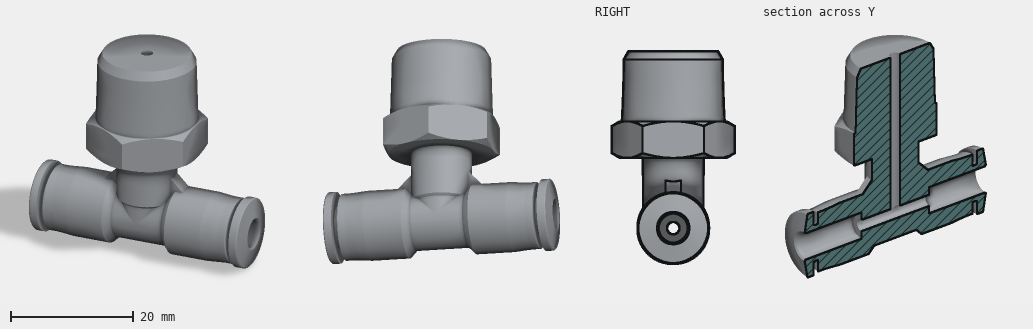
import cadquery as cq
import math


port_reach = 38.4 / 2
release_radius = 11.8 / 2
release_rim_x = 18.46
release_back_x = 17.23
release_edge_chamfer = 0.18
neck_radius = 6.76 / 2
neck_flare_radius = 3.5
neck_flare_length = 0.36
tube_hole_radius = 4.76 / 2
tube_hole_depth = 12.0
mouth_chamfer = 0.27
body_radius = 11.5 / 2
body_end_radius = 11.0 / 2
body_end_x = 16.4
body_end_chamfer = 0.12
body_taper_start_x = 11.96
body_taper_end_x = 15.07
body_shoulder_x = 5.6
run_radius = 4.6
shoulder_chamfer = body_radius - run_radius
flow_hole_radius = 2.0 / 2

stem_radius = 10.0 / 2
stem_bottom_z = 3.5
stem_chamfer = stem_radius - run_radius
hex_bottom_z = 11.5
hex_height = 6.0
hex_top_z = hex_bottom_z + hex_height
hex_corner_diameter = 20.16
hex_flat_radius = hex_corner_diameter / 2 * math.cos(math.radians(30))
hex_chamfer_slope = math.tan(math.radians(30))
branch_top_z = 29.0
thread_base_radius = 16.9 / 2
thread_taper = 1 / 16
thread_chamfer_height = 1.4
thread_chamfer_angle = 30.0

rib_thickness = 2.6
rib_reach = 12.65


def make_port():
    """Solid port on the +X side: run, body, neck and release ring turned about X."""
    release_face_radius = release_radius - release_edge_chamfer
    return (
        cq.Workplane("XY")
        .lineTo(0, run_radius)
        .lineTo(body_shoulder_x - shoulder_chamfer, run_radius)
        .lineTo(body_shoulder_x, body_radius)
        .lineTo(body_taper_start_x, body_radius)
        .lineTo(body_taper_end_x, body_end_radius)
        .lineTo(body_end_x - body_end_chamfer, body_end_radius)
        .lineTo(body_end_x, body_end_radius - body_end_chamfer)
        .lineTo(body_end_x, neck_radius)
        .lineTo(release_back_x - neck_flare_length, neck_radius)
        .lineTo(release_back_x, neck_flare_radius)
        .lineTo(release_back_x, release_radius)
        .lineTo(release_rim_x, release_radius)
        .lineTo(release_rim_x + release_edge_chamfer, release_face_radius)
        .lineTo(port_reach, tube_hole_radius + mouth_chamfer)
        .lineTo(port_reach, 0)
        .close()
        .revolve(360, (0, 0, 0), (1, 0, 0))
    )


def make_stem():
    """Round stem whose narrowed foot has the same radius as the run it meets."""
    return (
        cq.Workplane("XZ")
        .lineTo(run_radius, 0)
        .lineTo(run_radius, stem_bottom_z - stem_chamfer)
        .lineTo(stem_radius, stem_bottom_z)
        .lineTo(stem_radius, hex_bottom_z)
        .lineTo(0, hex_bottom_z)
        .close()
        .revolve(360, (0, 0, 0), (0, 1, 0))
    )


def make_hexagon():
    """Hexagon with corners on Y, its corners turned off by a cone at both ends."""
    corner_radius = hex_corner_diameter / 2
    corner_drop = (corner_radius - hex_flat_radius) * hex_chamfer_slope
    prism = (
        cq.Workplane("XY")
        .workplane(offset=hex_bottom_z)
        .polygon(6, hex_corner_diameter)
        .extrude(hex_height)
        .rotate((0, 0, 0), (0, 0, 1), 90)
    )
    turned_blank = (
        cq.Workplane("XZ")
        .moveTo(0, hex_bottom_z)
        .lineTo(hex_flat_radius, hex_bottom_z)
        .lineTo(corner_radius, hex_bottom_z + corner_drop)
        .lineTo(corner_radius, hex_top_z - corner_drop)
        .lineTo(hex_flat_radius, hex_top_z)
        .lineTo(0, hex_top_z)
        .close()
        .revolve(360, (0, 0, 0), (0, 1, 0))
    )
    return prism.intersect(turned_blank)


def make_thread():
    """Plain tapered cone standing for the thread, with a chamfered tip."""
    chamfer_z = branch_top_z - thread_chamfer_height
    chamfer_radius = thread_base_radius - (chamfer_z - hex_top_z) * thread_taper / 2
    tip_radius = chamfer_radius - thread_chamfer_height * math.tan(math.radians(thread_chamfer_angle))
    return (
        cq.Workplane("XZ")
        .moveTo(0, hex_top_z)
        .lineTo(thread_base_radius, hex_top_z)
        .lineTo(chamfer_radius, chamfer_z)
        .lineTo(tip_radius, branch_top_z)
        .lineTo(0, branch_top_z)
        .close()
        .revolve(360, (0, 0, 0), (0, 1, 0))
    )


def make_ribs():
    """One triangular plate on the XZ plane that forms the ribs on both sides of the stem."""
    return (
        cq.Workplane("XZ")
        .moveTo(-rib_reach, 0)
        .lineTo(rib_reach, 0)
        .lineTo(0, rib_reach)
        .close()
        .extrude(rib_thickness / 2, both=True)
    )


def make_tube_hole():
    """Tool for the +X tube socket: a flat-bottomed hole with a chamfered mouth."""
    return (
        cq.Workplane("XY")
        .moveTo(port_reach - tube_hole_depth, 0)
        .lineTo(port_reach - tube_hole_depth, tube_hole_radius)
        .lineTo(port_reach - mouth_chamfer, tube_hole_radius)
        .lineTo(port_reach, tube_hole_radius + mouth_chamfer)
        .lineTo(port_reach, 0)
        .close()
        .revolve(360, (0, 0, 0), (1, 0, 0))
    )


def make_flow_holes():
    """Tools for the bore through the run and the bore down the branch into it."""
    run_bore = cq.Workplane("YZ").circle(flow_hole_radius).extrude(port_reach, both=True)
    branch_bore = cq.Workplane("XY").circle(flow_hole_radius).extrude(branch_top_z)
    return run_bore.union(branch_bore)


port = make_port()
tube_hole = make_tube_hole()

fitting = port.union(port.mirror("YZ"))
for branch_feature in (make_stem(), make_hexagon(), make_thread(), make_ribs()):
    fitting = fitting.union(branch_feature)

result = fitting.cut(make_flow_holes()).cut(tube_hole).cut(tube_hole.mirror("YZ"))